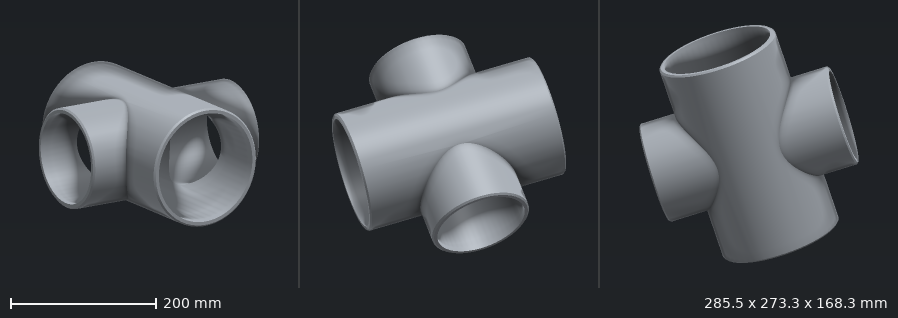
import cadquery as cq

RUN_LENGTH = 285.5
RUN_DIAMETER = 168.28
BRANCH_LENGTH = 273.3
BRANCH_DIAMETER = 141.3
WALL = 7.11

BEVEL = WALL / 3

RUN_PLANE = "YZ"
BRANCH_PLANE = "XZ"


def centred_cylinder(plane, length, diameter):
    """Solid cylinder normal to the plane, centred on the origin."""
    return cq.Workplane(plane).circle(diameter / 2).extrude(length / 2, both=True)


def pipe_outside(plane, length, diameter):
    """Solid outer body of a pipe, beveled at both ends."""
    return centred_cylinder(plane, length, diameter).faces("%PLANE").chamfer(BEVEL)


def pipe_bore(plane, length, diameter):
    """Cylinder filling the inside of a pipe over its full length."""
    return centred_cylinder(plane, length, diameter - 2 * WALL)


run = (RUN_PLANE, RUN_LENGTH, RUN_DIAMETER)
branch = (BRANCH_PLANE, BRANCH_LENGTH, BRANCH_DIAMETER)

outside = pipe_outside(*run).union(pipe_outside(*branch))
result = outside.cut(pipe_bore(*run)).cut(pipe_bore(*branch))